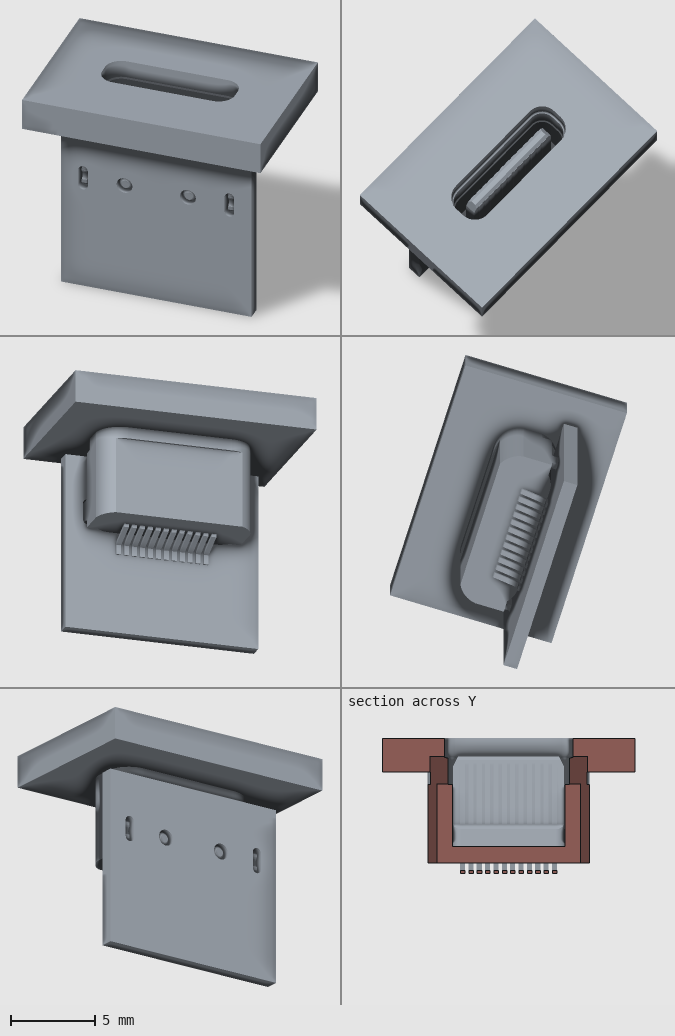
import cadquery as cq
import math


COS_45 = math.cos(math.radians(45))

PLATE_X = 15.0
PLATE_Y = 10.0
PLATE_THICK = 2.0
TOTAL_HEIGHT = 13.7
PLATE_BOTTOM = TOTAL_HEIGHT - PLATE_THICK
MOUTH_X = 8.34
MOUTH_Y = 2.55
MOUTH_RADIUS = 1.0
MOUTH_DEPTH = 1.1
MOUTH_Z = TOTAL_HEIGHT - MOUTH_DEPTH

SOCKET_HALF_Y = 1.92
CORNER_RADIUS = 1.56
CORNER_X = 3.24
CORNER_Y = SOCKET_HALF_Y - CORNER_RADIUS
SIDE_FLAT_HALF = 0.57
SOCKET_HALF_X = CORNER_X + math.sqrt(CORNER_RADIUS**2 - (SIDE_FLAT_HALF - CORNER_Y) ** 2)

FLANGE_BOTTOM = PLATE_BOTTOM - 0.7
SOCKET_BOTTOM = PLATE_BOTTOM - 5.4
SHEET_THICK = 0.36
SHEET_TOP_Y = 1.75
SHEET_EDGE_Y = -1.2
LEAD_IN_STEP = 0.12
LEAD_IN_DEPTH = 0.06

CORE_HALF_Y = SOCKET_HALF_Y - SHEET_THICK
BOARD_X = 12.0
BOARD_THICK = 0.84
BOARD_HEIGHT = PLATE_BOTTOM - 0.76
BOARD_BACK_Y = -CORE_HALF_Y
BOARD_FRONT_Y = BOARD_BACK_Y - BOARD_THICK
MOUNT_Z = PLATE_BOTTOM - 4.26
LEG_X = SOCKET_HALF_X - SHEET_THICK / 2
SLOT_WIDTH = 0.6
SLOT_LENGTH = 1.59
PEG_X = 2.0
PEG_HOLE_DIAMETER = 0.99

LEG_HALF = 0.62
LEG_TIP_Y = BOARD_FRONT_Y + 0.27
LEG_ROOT_RADIUS = 0.18
LEG_CHAMFER = 0.12
NOTCH_TOP = 0.33
NOTCH_RAMP_END = 0.21
NOTCH_RAMP_DEPTH = 0.06
NOTCH_BOTTOM = -0.27
NOTCH_DEPTH = 0.15

FLOOR_THICK = 1.0
FLOOR_Z = SOCKET_BOTTOM + FLOOR_THICK
POCKET_STEP = 0.09
PEG_DIAMETER = 0.81
PEG_CHAMFER = 0.15
PEG_TIP_Y = BOARD_FRONT_Y + 0.15

TIP_HALF_X = 3.0
TIP_HALF_Y = 0.15
BLADE_HALF_X = 3.28
BLADE_HALF_Y = 0.33
SIDE_BEVEL_HEIGHT = 0.58
TIP_BEVEL = BLADE_HALF_Y - TIP_HALF_Y
BASE_HALF_X = 3.35
BASE_HALF_Y = 0.63
BASE_CORNER_RADIUS = 0.52
BASE_HEIGHT = 1.0
SHOULDER_Z = FLOOR_Z + BASE_HEIGHT
SHOULDER_RISE = BASE_HALF_Y - BLADE_HALF_Y

CONTACT_COUNT = 12
CONTACT_PITCH = 0.5
CONTACT_WIDTH = 0.3
CONTACT_RAISE = 0.022
CONTACT_XS = [(i - (CONTACT_COUNT - 1) / 2) * CONTACT_PITCH for i in range(CONTACT_COUNT)]
TAIL_THICK = 0.12
TAIL_START_Y = 0.1
TAIL_TOP_WIDTH = 0.12
TAIL_KNEE_DROP = 0.18
TAIL_FOOT_TOP = SOCKET_BOTTOM - 0.62
TAIL_FOOT_BEND = SOCKET_BOTTOM - 0.78
TAIL_FOOT_END = SOCKET_BOTTOM - 1.36


def block(x0, x1, y0, y1, z0, z1):
    """Box given by its limits along each axis."""
    return cq.Workplane("XY").box(x1 - x0, y1 - y0, z1 - z0, centered=False).translate((x0, y0, z0))


def rounded_block(size_x, size_y, radius, z0, z1):
    """Upright block around the socket axis with rounded vertical edges."""
    base = cq.Workplane("XY").workplane(offset=z0).rect(size_x, size_y)
    return base.extrude(z1 - z0).edges("|Z").fillet(radius)


def prism_along_x(points, x0, x1):
    """Prism with a (y, z) outline, running from x0 to x1."""
    return cq.Workplane("YZ").workplane(offset=x0).polyline(points).close().extrude(x1 - x0)


def socket_block(inset, z0, z1):
    """Prism of the socket outline moved inwards by inset; its side flats cut the corner arcs short."""
    radius = CORNER_RADIUS - inset
    half_x = SOCKET_HALF_X - inset
    half_y = SOCKET_HALF_Y - inset
    flat = CORNER_Y + math.sqrt(radius**2 - (half_x - CORNER_X) ** 2)
    mid_x = CORNER_X + radius * COS_45
    mid_y = CORNER_Y + radius * COS_45
    return (
        cq.Workplane("XY")
        .workplane(offset=z0)
        .moveTo(-CORNER_X, half_y)
        .lineTo(CORNER_X, half_y)
        .threePointArc((mid_x, mid_y), (half_x, flat))
        .lineTo(half_x, -flat)
        .threePointArc((mid_x, -mid_y), (CORNER_X, -half_y))
        .lineTo(-CORNER_X, -half_y)
        .threePointArc((-mid_x, -mid_y), (-half_x, -flat))
        .lineTo(-half_x, flat)
        .threePointArc((-mid_x, mid_y), (-CORNER_X, half_y))
        .close()
        .extrude(z1 - z0)
    )


def make_plate():
    plate = block(-PLATE_X / 2, PLATE_X / 2, -PLATE_Y / 2, PLATE_Y / 2, PLATE_BOTTOM, TOTAL_HEIGHT)
    mouth = rounded_block(MOUTH_X, MOUTH_Y, MOUTH_RADIUS, MOUTH_Z, TOTAL_HEIGHT)
    seat = socket_block(0, PLATE_BOTTOM, MOUTH_Z)
    return plate.cut(mouth).cut(seat)


def make_board():
    board = block(-BOARD_X / 2, BOARD_X / 2, BOARD_FRONT_Y, BOARD_BACK_Y, 0, BOARD_HEIGHT)
    face = cq.Workplane("XZ", origin=(0, BOARD_BACK_Y, MOUNT_Z))
    slot_centres = face.pushPoints([(-LEG_X, 0), (LEG_X, 0)])
    slots = slot_centres.slot2D(SLOT_LENGTH, SLOT_WIDTH, angle=90).extrude(BOARD_THICK)
    hole_centres = face.pushPoints([(-PEG_X, 0), (PEG_X, 0)])
    holes = hole_centres.circle(PEG_HOLE_DIAMETER / 2).extrude(BOARD_THICK)
    return board.cut(slots).cut(holes)


def make_leg(x):
    """Snap leg with flared root, chamfered tip and a rounded notch, centred on x."""
    root_y = SHEET_EDGE_Y
    root_half = LEG_HALF + LEG_ROOT_RADIUS
    side_y = root_y - LEG_ROOT_RADIUS
    chamfer_y = LEG_TIP_Y + LEG_CHAMFER
    tip_half = LEG_HALF - LEG_CHAMFER
    arc_drop = LEG_ROOT_RADIUS * (1 - COS_45)
    root_mid_y = root_y - arc_drop
    root_mid_half = LEG_HALF + arc_drop
    ramp_y = LEG_TIP_Y + NOTCH_RAMP_DEPTH
    notch_mid = (LEG_TIP_Y + NOTCH_DEPTH, (NOTCH_RAMP_END + NOTCH_BOTTOM) / 2)
    return (
        cq.Workplane("YZ", origin=(x - SHEET_THICK / 2, 0, MOUNT_Z))
        .moveTo(root_y, root_half)
        .threePointArc((root_mid_y, root_mid_half), (side_y, LEG_HALF))
        .lineTo(chamfer_y, LEG_HALF)
        .lineTo(LEG_TIP_Y, tip_half)
        .lineTo(LEG_TIP_Y, NOTCH_TOP)
        .lineTo(ramp_y, NOTCH_RAMP_END)
        .threePointArc(notch_mid, (LEG_TIP_Y, NOTCH_BOTTOM))
        .lineTo(LEG_TIP_Y, -tip_half)
        .lineTo(chamfer_y, -LEG_HALF)
        .lineTo(side_y, -LEG_HALF)
        .threePointArc((root_mid_y, -root_mid_half), (root_y, -root_half))
        .close()
        .extrude(SHEET_THICK)
    )


def make_flange():
    """Ring seated in the plate, with a shallow lead-in around its bore."""
    bore_x = MOUTH_X - 2 * LEAD_IN_STEP
    bore_y = MOUTH_Y - 2 * LEAD_IN_STEP
    bore_radius = MOUTH_RADIUS - LEAD_IN_STEP
    bore = rounded_block(bore_x, bore_y, bore_radius, FLANGE_BOTTOM, MOUTH_Z)
    ring = socket_block(0, FLANGE_BOTTOM, MOUTH_Z).cut(bore)
    lead_in_taper = math.degrees(math.atan2(LEAD_IN_STEP, LEAD_IN_DEPTH))
    lead_in = (
        cq.Workplane("XY")
        .workplane(offset=MOUTH_Z)
        .sketch()
        .rect(MOUTH_X, MOUTH_Y)
        .vertices()
        .fillet(MOUTH_RADIUS)
        .finalize()
        .extrude(-LEAD_IN_DEPTH, taper=lead_in_taper)
    )
    return ring.cut(lead_in)


def make_cover():
    """Bent sheet over the back and sides of the core, open towards the board."""
    outer = socket_block(0, SOCKET_BOTTOM, FLANGE_BOTTOM).union(
        block(-SOCKET_HALF_X, SOCKET_HALF_X, SHEET_EDGE_Y, 0, SOCKET_BOTTOM, FLANGE_BOTTOM)
    )
    limits = block(-SOCKET_HALF_X, SOCKET_HALF_X, SHEET_EDGE_Y, SHEET_TOP_Y, SOCKET_BOTTOM, FLANGE_BOTTOM)
    core_space = socket_block(SHEET_THICK, SOCKET_BOTTOM, FLANGE_BOTTOM)
    return outer.intersect(limits).cut(core_space)


def make_shell():
    shell = make_flange().union(make_cover())
    for x in (-LEG_X, LEG_X):
        shell = shell.union(make_leg(x))
    return shell.clean()


def make_tongue():
    """Blade bevelled at its tip, standing on a thicker base with sloped shoulders."""
    half_profile = [
        (BASE_HALF_Y, FLOOR_Z),
        (BASE_HALF_Y, SHOULDER_Z),
        (BLADE_HALF_Y, SHOULDER_Z + SHOULDER_RISE),
        (BLADE_HALF_Y, MOUTH_Z - TIP_BEVEL),
        (TIP_HALF_Y, MOUTH_Z),
    ]
    half_face = [
        (BASE_HALF_X, FLOOR_Z),
        (BASE_HALF_X, SHOULDER_Z),
        (BLADE_HALF_X, SHOULDER_Z),
        (BLADE_HALF_X, MOUTH_Z - SIDE_BEVEL_HEIGHT),
        (TIP_HALF_X, MOUTH_Z),
    ]
    profile = half_profile + [(-y, z) for y, z in reversed(half_profile)]
    face = half_face + [(-x, z) for x, z in reversed(half_face)]
    thickness = prism_along_x(profile, -BASE_HALF_X, BASE_HALF_X)
    width = cq.Workplane("XZ").polyline(face).close().extrude(BASE_HALF_Y, both=True)
    footprint = rounded_block(2 * BASE_HALF_X, 2 * BASE_HALF_Y, BASE_CORNER_RADIUS, FLOOR_Z, MOUTH_Z)
    return thickness.intersect(width).intersect(footprint)


def make_contact(x):
    """Contact strip lying on both faces of the tongue blade."""
    half_y = BLADE_HALF_Y + CONTACT_RAISE
    half_x = CONTACT_WIDTH / 2
    return block(x - half_x, x + half_x, -half_y, half_y, SHOULDER_Z, MOUTH_Z - TIP_BEVEL)


def make_tail(x):
    """Bent solder tail from the underside of the core to the board face."""
    foot_y = BOARD_BACK_Y + TAIL_THICK
    points = [
        (TAIL_START_Y, SOCKET_BOTTOM),
        (TAIL_START_Y - TAIL_THICK / 2, SOCKET_BOTTOM - TAIL_KNEE_DROP),
        (foot_y, TAIL_FOOT_BEND),
        (foot_y, TAIL_FOOT_END),
        (BOARD_BACK_Y, TAIL_FOOT_END),
        (BOARD_BACK_Y, TAIL_FOOT_TOP),
        (TAIL_START_Y - TAIL_TOP_WIDTH, SOCKET_BOTTOM),
    ]
    return prism_along_x(points, x - CONTACT_WIDTH / 2, x + CONTACT_WIDTH / 2)


def make_peg(x):
    """Locating peg with a chamfered tip, reaching from the core into the board."""
    peg = cq.Workplane("XZ", origin=(x, 0, MOUNT_Z)).workplane(offset=CORE_HALF_Y)
    return peg.circle(PEG_DIAMETER / 2).extrude(-PEG_TIP_Y - CORE_HALF_Y).faces("<Y").chamfer(PEG_CHAMFER)


def make_core():
    pocket_inset = 2 * (LEAD_IN_STEP + POCKET_STEP)
    pocket = rounded_block(
        MOUTH_X - pocket_inset,
        MOUTH_Y - pocket_inset,
        MOUTH_RADIUS - pocket_inset / 2,
        FLOOR_Z,
        FLANGE_BOTTOM,
    )
    core = socket_block(SHEET_THICK, SOCKET_BOTTOM, FLANGE_BOTTOM).cut(pocket).union(make_tongue())
    for x in CONTACT_XS:
        core = core.union(make_contact(x)).union(make_tail(x))
    for x in (-PEG_X, PEG_X):
        core = core.union(make_peg(x))
    return core


plate = make_plate()
board = make_board()
shell = make_shell()
core = make_core()

bodies = [plate, board, shell, core]
result = cq.Compound.makeCompound([body.solids().val() for body in bodies])